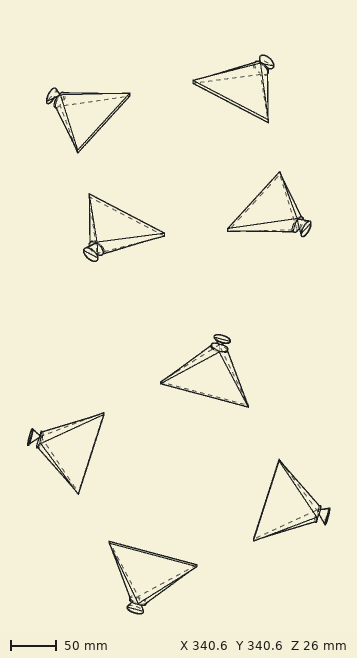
import cadquery as cq

nozzle_count = 4
outer_reach = 170.3
mouth_distance = 100.0
pair_lift = 3.5

mouth_width = 100.8
mouth_height = 5.0
horn_length = 58.0
end_radius = 19.0 / 2

collar_root_length = 1.0
collar_lobe_length = 2.0

disc_thickness = 0.7
neck_radius = 0.5
neck_overlap = 0.7
neck_drop = 0.5

horn_end = mouth_distance + horn_length
collar_valley = horn_end + collar_root_length
collar_tip = horn_end + collar_lobe_length
disc_inner = outer_reach - disc_thickness


def polygon_face(*points):
    return cq.Face.makeFromWires(cq.Wire.makePolygon(points, close=True))


def make_horn():
    """Flat triangles above and below, ruled sides from short edges to half circles."""
    half_width = mouth_width / 2
    half_height = mouth_height / 2
    crown = cq.Vector(horn_end, 0, end_radius)
    base = cq.Vector(horn_end, 0, -end_radius)
    upper_left = cq.Vector(mouth_distance, half_width, half_height)
    upper_right = cq.Vector(mouth_distance, -half_width, half_height)
    lower_left = cq.Vector(mouth_distance, half_width, -half_height)
    lower_right = cq.Vector(mouth_distance, -half_width, -half_height)

    left_arc = cq.Edge.makeThreePointArc(crown, cq.Vector(horn_end, end_radius, 0), base)
    right_arc = cq.Edge.makeThreePointArc(crown, cq.Vector(horn_end, -end_radius, 0), base)
    left_edge = cq.Edge.makeLine(upper_left, lower_left)
    right_edge = cq.Edge.makeLine(upper_right, lower_right)

    faces = [
        polygon_face(upper_left, upper_right, lower_right, lower_left),
        polygon_face(upper_left, upper_right, crown),
        polygon_face(lower_left, lower_right, base),
        cq.Face.makeRuledSurface(left_edge, left_arc),
        cq.Face.makeRuledSurface(right_edge, right_arc),
        cq.Face.makeFromWires(cq.Wire.assembleEdges([left_arc, right_arc])),
    ]
    solid = cq.Solid.makeSolid(cq.Shell.makeShell(faces)).fix()
    return cq.Workplane(solid)


def make_collar():
    """Round collar whose outer face is a V with a vertical valley."""
    profile = [
        (horn_end, -end_radius),
        (collar_tip, -end_radius),
        (collar_valley, 0),
        (collar_tip, end_radius),
        (horn_end, end_radius),
    ]
    v_block = (
        cq.Workplane("XY", origin=(0, 0, -end_radius))
        .polyline(profile).close()
        .extrude(2 * end_radius)
    )
    round_bar = (
        cq.Workplane("YZ", origin=(horn_end, 0, 0))
        .circle(end_radius)
        .extrude(collar_lobe_length)
    )
    return round_bar.intersect(v_block)


def upper_half_circle(x, centre_z, radius):
    left = cq.Vector(x, radius, centre_z)
    top = cq.Vector(x, 0, centre_z + radius)
    right = cq.Vector(x, -radius, centre_z)
    arc = cq.Edge.makeThreePointArc(left, top, right)
    return cq.Wire.assembleEdges([arc, cq.Edge.makeLine(right, left)])


def make_half_cone():
    """Half cone from a narrow neck at the collar crown to the upper half of the disc."""
    neck_z = end_radius - neck_drop - neck_radius
    neck = upper_half_circle(collar_valley - neck_overlap, neck_z, neck_radius)
    wide_end = upper_half_circle(disc_inner, 0, end_radius)
    return cq.Workplane(cq.Solid.makeLoft([neck, wide_end], True))


def make_disc():
    return (
        cq.Workplane("YZ", origin=(disc_inner, 0, 0))
        .circle(end_radius)
        .extrude(disc_thickness)
    )


def make_nozzle(index):
    """One nozzle, turned a quarter turn per index; even ones lie along X."""
    lift = pair_lift if index % 2 else -pair_lift
    nozzle = make_horn().union(make_collar()).union(make_half_cone()).union(make_disc())
    turn = index * 360 / nozzle_count
    return nozzle.rotate((0, 0, 0), (0, 0, 1), turn).translate((0, 0, lift))


nozzles = [make_nozzle(index).solids().val() for index in range(nozzle_count)]
result = cq.Compound.makeCompound(nozzles)